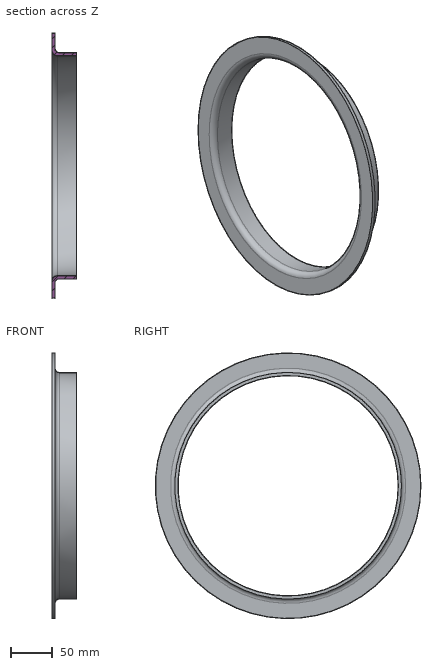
import cadquery as cq

flange_diameter = 320
tube_outer_diameter = 273.0
tube_inner_diameter = 265.0
length = 30.0
outside_fillet_radius = 5.0
bore_rounding_radius = 7.0

flange_radius = flange_diameter / 2
tube_outer_radius = tube_outer_diameter / 2
tube_inner_radius = tube_inner_diameter / 2
wall = tube_outer_radius - tube_inner_radius

profile = (
    cq.Workplane("XY")
    .moveTo(0, flange_radius)
    .lineTo(wall, flange_radius)
    .lineTo(wall, tube_outer_radius + outside_fillet_radius)
    .radiusArc((wall + outside_fillet_radius, tube_outer_radius), -outside_fillet_radius)
    .lineTo(length, tube_outer_radius)
    .lineTo(length, tube_inner_radius)
    .lineTo(bore_rounding_radius, tube_inner_radius)
    .radiusArc((0, tube_inner_radius + bore_rounding_radius), bore_rounding_radius)
    .close()
)

result = profile.revolve(360, (0, 0, 0), (1, 0, 0))